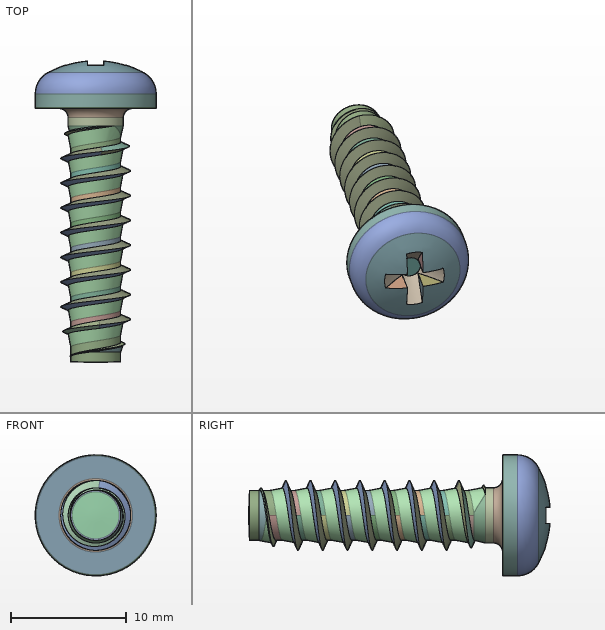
import cadquery as cq
import math


head_radius = 5.25
head_rim_height = 1.28
head_corner_radius = 2.1
head_apex_height = 4.18
bearing_edge_fillet = 0.1

recess_arm_width = 1.38
recess_depth = 2.35
recess_mouth_radius = 3.0
recess_floor_radius = 0.91

neck_radius = 2.4
neck_length = 1.5
neck_fillet = 0.78
core_radius = 2.17
core_taper_length = 1.0
shank_length = 21.9
tip_cone_radius = 2.04
tip_cone_height = 0.08

pitch = 2.15
crest_radius = 3.03
flank_angle = 24.0
relief_start_offset = 0.1
relief_start_radius = 2.4
relief_end_offset = 1.5
relief_end_radius = 2.15
relief_cover = 0.2
root_radius = 2.0
crest_start_z = 1.1
run_in_end_z = 3.7
run_in_slope = 0.2
run_out_start_z = 18.71
run_out_slope = -0.3


def revolve_outline(points):
    """Turn a closed (radius, z) outline about the screw axis."""
    return cq.Workplane("XZ").polyline(points).close().revolve(360, (0, 0, 0), (0, 1, 0))


def make_head():
    """Revolve the pan head: rim, corner arc and a crown arc tangent to it."""
    corner_center_r = head_radius - head_corner_radius
    corner_drop = head_apex_height - head_rim_height
    crown_radius = (corner_center_r**2 + corner_drop**2 - head_corner_radius**2) / (
        2 * (corner_drop - head_corner_radius)
    )
    crown_center_z = crown_radius - head_apex_height
    join_angle = math.atan2(crown_radius - corner_drop, corner_center_r)

    def corner_point(angle):
        return (
            corner_center_r + head_corner_radius * math.cos(angle),
            -head_rim_height - head_corner_radius * math.sin(angle),
        )

    crown_mid_angle = (join_angle + math.pi / 2) / 2
    crown_mid = (
        crown_radius * math.cos(crown_mid_angle),
        crown_center_z - crown_radius * math.sin(crown_mid_angle),
    )
    head = (
        cq.Workplane("XZ")
        .moveTo(0, 0)
        .lineTo(head_radius, 0)
        .lineTo(head_radius, -head_rim_height)
        .threePointArc(corner_point(join_angle / 2), corner_point(join_angle))
        .threePointArc(crown_mid, (0, -head_apex_height))
        .close()
        .revolve(360, (0, 0, 0), (0, 1, 0))
    )
    return head.faces(">Z").edges().fillet(bearing_edge_fillet)


def make_recess():
    """Two crossed arms bounded by a cone that narrows toward the recess floor."""
    cone = revolve_outline([
        (0, -head_apex_height),
        (recess_mouth_radius, -head_apex_height),
        (recess_floor_radius, recess_depth - head_apex_height),
        (0, recess_depth - head_apex_height),
    ])
    arms = cq.Workplane("XY").workplane(offset=-head_apex_height)
    arms = (
        arms.rect(2 * recess_mouth_radius, recess_arm_width)
        .extrude(recess_depth)
        .union(arms.rect(recess_arm_width, 2 * recess_mouth_radius).extrude(recess_depth))
    )
    return arms.intersect(cone)


def make_neck():
    """Plain neck with a concave fillet into the bearing face."""
    fillet_center_r = neck_radius + neck_fillet
    fillet_mid_offset = neck_fillet * math.sqrt(0.5)
    return (
        cq.Workplane("XZ")
        .moveTo(0, 0)
        .lineTo(fillet_center_r, 0)
        .threePointArc(
            (fillet_center_r - fillet_mid_offset, neck_fillet - fillet_mid_offset),
            (neck_radius, neck_fillet),
        )
        .lineTo(neck_radius, neck_length)
        .lineTo(0, neck_length)
        .close()
        .revolve(360, (0, 0, 0), (0, 1, 0))
    )


def make_core():
    """Core cylinder with a short cone leading down from the neck."""
    return revolve_outline([
        (0, neck_length),
        (neck_radius, neck_length),
        (core_radius, neck_length + core_taper_length),
        (core_radius, shank_length),
        (tip_cone_radius, shank_length),
        (0, shank_length + tip_cone_height),
    ])


def crest_radius_at(z):
    """Crest radius at height z, sinking toward both ends of the thread."""
    if z < run_in_end_z:
        return crest_radius + run_in_slope * (z - run_in_end_z)
    if z > run_out_start_z:
        return crest_radius + run_out_slope * (z - run_out_start_z)
    return crest_radius


def helix_angle_at(z):
    """Angle from +X, in degrees, at which the crest crosses height z."""
    return 360 * (z - crest_start_z) / pitch


def crest_helix(start_z, end_z, slope):
    """Right-hand helix along the crest whose radius changes by slope per unit of height."""
    cone_angle = math.atan(slope)
    slant = 1 / math.cos(cone_angle)
    helix = cq.Wire.makeHelix(
        pitch * slant,
        (end_z - start_z) * slant,
        crest_radius_at(start_z),
        cq.Vector(0, 0, start_z),
        angle=math.degrees(cone_angle) if slope else 360,
    )
    return helix.rotate(cq.Vector(0, 0, 0), cq.Vector(0, 0, 1), helix_angle_at(start_z))


def sweep_profile(points, start_z, path):
    """Sweep a (radius, z) outline, placed at the start of the crest, along the path."""
    angle = helix_angle_at(start_z)
    profile = cq.Workplane("XZ").transformed(rotate=(0, angle, 0)).polyline(points).close()
    return profile.sweep(cq.Workplane(path), isFrenet=True, transition="transformed")


def make_ridge():
    """Triangular thread ridge that sinks into the shank at both ends."""
    start_z = neck_length - pitch
    end_z = shank_length + pitch / 2
    sections = [
        crest_helix(start_z, run_in_end_z, run_in_slope),
        crest_helix(run_in_end_z, run_out_start_z, 0),
        crest_helix(run_out_start_z, end_z, run_out_slope),
    ]
    path = cq.Wire.assembleEdges([edge for section in sections for edge in section.Edges()])
    start_radius = crest_radius_at(start_z)
    ridge_height = crest_radius - root_radius
    half_width = ridge_height * math.tan(math.radians(flank_angle))
    ridge = sweep_profile(
        [
            (start_radius - ridge_height, start_z - half_width),
            (start_radius, start_z),
            (start_radius - ridge_height, start_z + half_width),
        ],
        start_z,
        path,
    )
    shank_span = (
        cq.Workplane("XY").workplane(offset=neck_length)
        .circle(2 * crest_radius).extrude(shank_length - neck_length)
    )
    return ridge.intersect(shank_span)


def make_relief():
    """Shallow slope on the tip side of the ridge, kept below the crest at the run-out."""
    start_z = crest_start_z - pitch
    path_length = shank_length + pitch - start_z
    path = cq.Wire.makeHelix(pitch, path_length, crest_radius, cq.Vector(0, 0, start_z))
    relief = sweep_profile(
        [
            (root_radius, start_z + relief_start_offset),
            (relief_start_radius, start_z + relief_start_offset),
            (relief_end_radius, start_z + relief_end_offset),
            (root_radius, start_z + relief_end_offset),
        ],
        start_z,
        path,
    )
    limit = revolve_outline([
        (0, neck_length),
        (neck_radius, neck_length),
        (crest_radius, run_in_end_z),
        (crest_radius, run_out_start_z),
        (crest_radius_at(shank_length) - relief_cover, shank_length),
        (0, shank_length),
    ])
    return relief.intersect(limit)


core = make_core().union(make_relief()).union(make_ridge())
head = make_head().cut(make_recess())
screw = head.union(make_neck()).union(core)
result = screw.rotate((0, 0, 0), (1, 0, 0), 90)